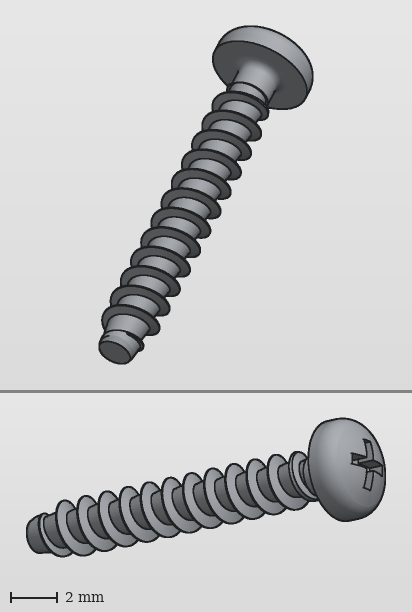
import cadquery as cq
import math


TOTAL_LENGTH = 17.67

HEAD_RADIUS = 2.2
HEAD_HEIGHT = 1.68
RIM_HEIGHT = 0.48
HEAD_CORNER_RADIUS = 0.87
DOME_RADIUS = 3.41

RECESS_WIDTH = 0.48
RECESS_SPAN = 2.19
RECESS_DEPTH = 0.8

SHANK_RADIUS = 0.892
SHANK_LENGTH = 1.2
NECK_FILLET = 0.37

PITCH = 1.12
CREST_RADIUS = 1.25
HALF_CREST = 0.027
FLANK_WIDTH = 0.16
CORE_RADIUS = 0.75
SHOULDER_RADIUS = 0.875
HELIX_DEPTH = 16.25
TURNS = 15
HELIX_STEPS = 24

BLANK_RADIUS = 1.33
START_RADIUS = 0.99
START_SLOPE = 0.26
TIP_RADIUS = 0.72
TIP_SLOPE = 0.4

RUNOUT_BEGIN = 1.63
RUNOUT_END = 0.23
FADED_CREST_RADIUS = 0.751

TIP_Z = HEAD_HEIGHT - TOTAL_LENGTH
SHANK_END_Z = -SHANK_LENGTH


def head_and_shank():
    """Revolved domed head, filleted neck and plain shank."""
    corner_r = HEAD_RADIUS - HEAD_CORNER_RADIUS
    corner_z = RIM_HEIGHT
    centre_distance = DOME_RADIUS - HEAD_CORNER_RADIUS
    joint_angle = math.asin(corner_r / centre_distance)
    dome_z = corner_z - centre_distance * math.cos(joint_angle)
    flat_angle = math.acos((HEAD_HEIGHT - dome_z) / DOME_RADIUS)

    def on_dome(angle):
        return DOME_RADIUS * math.sin(angle), dome_z + DOME_RADIUS * math.cos(angle)

    def on_corner(angle):
        r = corner_r + HEAD_CORNER_RADIUS * math.sin(angle)
        return r, corner_z + HEAD_CORNER_RADIUS * math.cos(angle)

    return (
        cq.Workplane("XZ")
        .moveTo(0, SHANK_END_Z)
        .lineTo(SHANK_RADIUS, SHANK_END_Z)
        .lineTo(SHANK_RADIUS, -NECK_FILLET)
        .radiusArc((SHANK_RADIUS + NECK_FILLET, 0), NECK_FILLET)
        .lineTo(HEAD_RADIUS, 0)
        .lineTo(HEAD_RADIUS, RIM_HEIGHT)
        .threePointArc(on_corner((joint_angle + math.pi / 2) / 2), on_corner(joint_angle))
        .threePointArc(on_dome((joint_angle + flat_angle) / 2), on_dome(flat_angle))
        .lineTo(0, HEAD_HEIGHT)
        .close()
        .revolve(360, (0, 0), (0, 1))
    )


def cross_recess():
    """Two crossed slots sunk from the top of the head."""
    floor = cq.Workplane("XY").workplane(offset=HEAD_HEIGHT - RECESS_DEPTH)
    along_x = floor.rect(RECESS_SPAN, RECESS_WIDTH).extrude(RECESS_DEPTH)
    along_y = floor.rect(RECESS_WIDTH, RECESS_SPAN).extrude(RECESS_DEPTH)
    return along_x.union(along_y)


def ridge_corners(crest_z):
    """Radius and height of the four ridge corners, top to bottom, for a crest at crest_z."""
    fade = (crest_z - TIP_Z - RUNOUT_END) / (RUNOUT_BEGIN - RUNOUT_END)
    faded_radius = CORE_RADIUS + (CREST_RADIUS - CORE_RADIUS) * fade
    crest_radius = max(FADED_CREST_RADIUS, min(CREST_RADIUS, faded_radius))
    flank = FLANK_WIDTH * (crest_radius - CORE_RADIUS) / (CREST_RADIUS - CORE_RADIUS)
    return [
        (CORE_RADIUS, crest_z + HALF_CREST + flank),
        (crest_radius, crest_z + HALF_CREST),
        (crest_radius, crest_z - HALF_CREST),
        (min(SHOULDER_RADIUS, crest_radius), crest_z - HALF_CREST - flank),
    ]


def crest_height(turn):
    """Height of the crest on the +X side, where the given turn begins."""
    return PITCH * turn - HELIX_DEPTH


def ridge_edge(corner, turn):
    """Right-handed helical edge that one ridge corner follows through one turn."""
    points = []
    for step in range(HELIX_STEPS + 1):
        part = step / HELIX_STEPS
        angle = 2 * math.pi * part
        radius, z = ridge_corners(crest_height(turn + part))[corner]
        points.append(cq.Vector(radius * math.cos(angle), radius * math.sin(angle), z))
    return cq.Edge.makeSpline(points)


def end_faces(turn):
    """Faces that close the rod where the given turn begins: a helicoid and a flat step."""
    ridge = ridge_corners(crest_height(turn))
    ridge_below = ridge_corners(crest_height(turn - 1))
    outline = ridge + ridge_below[:1]
    corners = [cq.Vector(radius, 0, z) for radius, z in outline]
    axis_top = cq.Vector(0, 0, corners[0].z)
    axis_bottom = cq.Vector(0, 0, corners[-1].z)
    step = cq.Face.makeFromWires(cq.Wire.makePolygon(corners + [axis_bottom, axis_top], close=True))
    axis = cq.Edge.makeLine(axis_bottom, axis_top)
    helicoid = cq.Face.makeRuledSurface(ridge_edge(0, turn - 1), axis)
    return [helicoid, step]


def threaded_rod():
    """Rod bounded by helical bands: upper flank, crest, lower flank and core taper."""
    faces = end_faces(0) + end_faces(TURNS)
    for turn in range(TURNS):
        edges = [ridge_edge(corner, turn) for corner in range(4)]
        edges.append(ridge_edge(0, turn - 1))
        for upper, lower in zip(edges, edges[1:]):
            faces.append(cq.Face.makeRuledSurface(upper, lower))
    return cq.Workplane(cq.Solid.makeSolid(cq.Shell.makeShell(faces)))


def thread_blank():
    """Turned blank from the shank to the tip, coned at both ends."""
    start_length = (BLANK_RADIUS - START_RADIUS) / START_SLOPE
    tip_length = (BLANK_RADIUS - TIP_RADIUS) / TIP_SLOPE
    outline = [
        (0, SHANK_END_Z),
        (START_RADIUS, SHANK_END_Z),
        (BLANK_RADIUS, SHANK_END_Z - start_length),
        (BLANK_RADIUS, TIP_Z + tip_length),
        (TIP_RADIUS, TIP_Z),
        (0, TIP_Z),
    ]
    return cq.Workplane("XZ").polyline(outline).close().revolve(360, (0, 0), (0, 1))


threaded_section = threaded_rod().intersect(thread_blank())
screw = head_and_shank().cut(cross_recess()).union(threaded_section)
result = cq.Workplane(screw.rotate((0, 0, 0), (1, 0, 0), -90).solids().val())